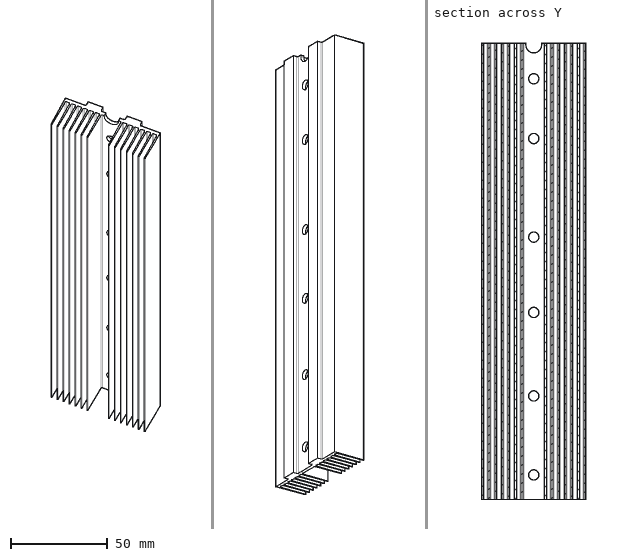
import cadquery as cq

width = 54.0
depth = 21.2
length = 236.0

plate_thickness = 2.0
pad_height = 2.71
pad_width = 8.5
pad_offset = 11.0
pad_base_radius = 0.7

fins_per_side = 7
fin_pitch = 3.4
fin_root_width = 1.01
fin_tip_width = 0.57
fin_root_radius = 0.5
fin_height = depth - plate_thickness - pad_height

hole_diameter = 5.2
hole_depths = [18.5, 49.3, 100.3, 139.2, 182.5, 223.3]

notch_radius = 4.0
notch_depth = 5.0

fin_tip_y = -depth / 2
plate_front_y = fin_tip_y + fin_height
plate_back_y = plate_front_y + plate_thickness
pad_back_y = depth / 2
top_z = length / 2

fin_tip_radius = fin_tip_width / 2
fin_taper_height = fin_height - fin_tip_radius
fin_side_slope = (fin_root_width - fin_tip_width) / 2 / fin_taper_height
plate_front_half_width = width / 2 - fin_side_slope * plate_thickness
outer_fin_x = plate_front_half_width - fin_root_width / 2
fin_positions = [
    side * (outer_fin_x - index * fin_pitch)
    for side in (-1, 1)
    for index in range(fins_per_side)
]


def profile_plane():
    """Workplane on the bottom end, from which the profile is extruded."""
    return cq.Workplane("XY").workplane(offset=-length / 2)


def plate():
    """Base plate with slightly tapered side faces."""
    outline = [
        (-plate_front_half_width, plate_front_y),
        (plate_front_half_width, plate_front_y),
        (width / 2, plate_back_y),
        (-width / 2, plate_back_y),
    ]
    return profile_plane().polyline(outline).close().extrude(length)


def pad(x):
    """Raised pad centred on x, with concave fillets where it meets the plate."""
    half = pad_width / 2
    foot = half + pad_base_radius
    fillet_top_y = plate_back_y + pad_base_radius
    buried_y = plate_back_y - plate_thickness / 2
    return (
        profile_plane()
        .moveTo(x - foot, buried_y)
        .lineTo(x + foot, buried_y)
        .lineTo(x + foot, plate_back_y)
        .radiusArc((x + half, fillet_top_y), pad_base_radius)
        .lineTo(x + half, pad_back_y)
        .lineTo(x - half, pad_back_y)
        .lineTo(x - half, fillet_top_y)
        .radiusArc((x - foot, plate_back_y), pad_base_radius)
        .close()
        .extrude(length)
    )


def fin(x):
    """Fin centred on x, narrowing from the plate to a rounded tip."""
    root = fin_root_width / 2
    tip = fin_tip_width / 2
    tip_start_y = fin_tip_y + fin_tip_radius
    buried_depth = plate_thickness / 2
    buried_y = plate_front_y + buried_depth
    buried = root + fin_side_slope * buried_depth
    return (
        profile_plane()
        .moveTo(x - buried, buried_y)
        .lineTo(x - tip, tip_start_y)
        .threePointArc((x, fin_tip_y), (x + tip, tip_start_y))
        .lineTo(x + buried, buried_y)
        .close()
        .extrude(length)
    )


def is_fin_root(edge):
    """True for the concave corner edges between a fin and the plate front."""
    center = edge.Center()
    tolerance = 0.002
    at_front = abs(center.y - plate_front_y) < tolerance
    inside_plate_sides = abs(center.x) < plate_front_half_width - tolerance
    return at_front and inside_plate_sides


def round_cutter(z, diameter):
    """Cylinder along Y that passes through the whole depth at height z."""
    return cq.Workplane("XZ").center(0, z).circle(diameter / 2).extrude(depth, both=True)


def notch_cutter():
    """U-shaped cutter: a round bottom with straight sides running out of the top end."""
    round_z = top_z - notch_depth + notch_radius
    opening = cq.Workplane("XY").box(2 * notch_radius, 2 * depth, 2 * notch_depth)
    opening = opening.translate((0, 0, round_z + notch_depth))
    return round_cutter(round_z, 2 * notch_radius).union(opening)


body = plate()
for pad_x in (-pad_offset, pad_offset):
    body = body.union(pad(pad_x))
for fin_x in fin_positions:
    body = body.union(fin(fin_x))
root_edges = [edge for edge in body.edges("|Z").vals() if is_fin_root(edge)]
body = body.newObject(root_edges).fillet(fin_root_radius)

for hole_depth in hole_depths:
    body = body.cut(round_cutter(top_z - hole_depth, hole_diameter))
result = body.cut(notch_cutter())